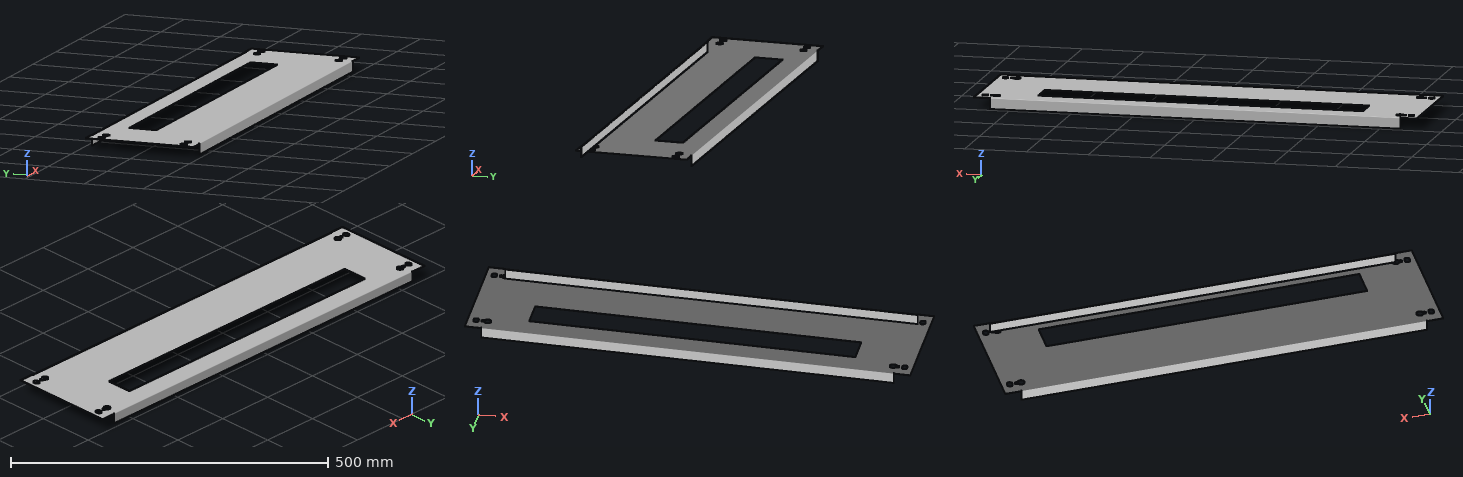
import cadquery as cq

LENGTH = 717.5
WIDTH = 183.0
HEIGHT = 18.0
THICKNESS = 1.0

FLANGE_LENGTH = 664.5
BEND_OUTER_RADIUS = 1.5
BEND_INNER_RADIUS = BEND_OUTER_RADIUS - THICKNESS

WINDOW_LENGTH = 525.0
WINDOW_WIDTH = 45.0
WINDOW_BACK_MARGIN = 36.5
WINDOW_Y = WIDTH / 2 - WINDOW_BACK_MARGIN - WINDOW_WIDTH / 2

HOLE_SPACING_Y = 138.5
OVAL_END_MARGIN = 13.5
OVAL_WIDTH = 8.5
OVAL_HEIGHT = 11.0
KEYHOLE_END_MARGIN = 32.0
KEYHOLE_DIAMETER = 11.0
KEYHOLE_SLOT_WIDTH = 4.65
KEYHOLE_SLOT_REACH = 10.0


def make_folded_sheet():
    """Channel with rounded bends, plus the flat plate beyond the flanges."""
    channel = (
        cq.Workplane("XY")
        .box(FLANGE_LENGTH, WIDTH, HEIGHT, centered=(True, True, False))
        .translate((0, 0, -HEIGHT))
        .edges("|X and >Z")
        .fillet(BEND_OUTER_RADIUS)
    )
    cavity = (
        cq.Workplane("XY")
        .box(FLANGE_LENGTH, WIDTH - 2 * THICKNESS, HEIGHT, centered=(True, True, False))
        .translate((0, 0, -HEIGHT - THICKNESS))
        .edges("|X and >Z")
        .fillet(BEND_INNER_RADIUS)
    )
    end_length = (LENGTH - FLANGE_LENGTH) / 2
    sheet = channel.cut(cavity)
    for side in (-1, 1):
        end_plate = (
            cq.Workplane("XY")
            .box(end_length, WIDTH, THICKNESS, centered=(True, True, False))
            .translate((side * (LENGTH - end_length) / 2, 0, -THICKNESS))
        )
        sheet = sheet.union(end_plate)
    return sheet


def through_cut(sketch):
    """Turn a closed outline into a cutter that spans the plate thickness."""
    return sketch.extrude(THICKNESS, both=True)


def make_window():
    return through_cut(cq.Workplane("XY").center(0, WINDOW_Y).rect(WINDOW_LENGTH, WINDOW_WIDTH))


def make_corner_holes(side_x, side_y):
    """Oval hole and a keyhole whose slot points to the plate end."""
    hole_y = side_y * HOLE_SPACING_Y / 2
    oval_x = side_x * (LENGTH / 2 - OVAL_END_MARGIN)
    keyhole_x = side_x * (LENGTH / 2 - KEYHOLE_END_MARGIN)
    slot_length = KEYHOLE_SLOT_REACH + KEYHOLE_SLOT_WIDTH / 2
    slot_x = keyhole_x + side_x * (KEYHOLE_SLOT_REACH - slot_length / 2)

    oval = through_cut(cq.Workplane("XY").center(oval_x, hole_y).slot2D(OVAL_HEIGHT, OVAL_WIDTH, 90))
    entry = through_cut(cq.Workplane("XY").center(keyhole_x, hole_y).circle(KEYHOLE_DIAMETER / 2))
    slot = through_cut(cq.Workplane("XY").center(slot_x, hole_y).slot2D(slot_length, KEYHOLE_SLOT_WIDTH))
    return oval.union(entry.union(slot))


result = make_folded_sheet().cut(make_window())
for side_x in (-1, 1):
    for side_y in (-1, 1):
        result = result.cut(make_corner_holes(side_x, side_y))